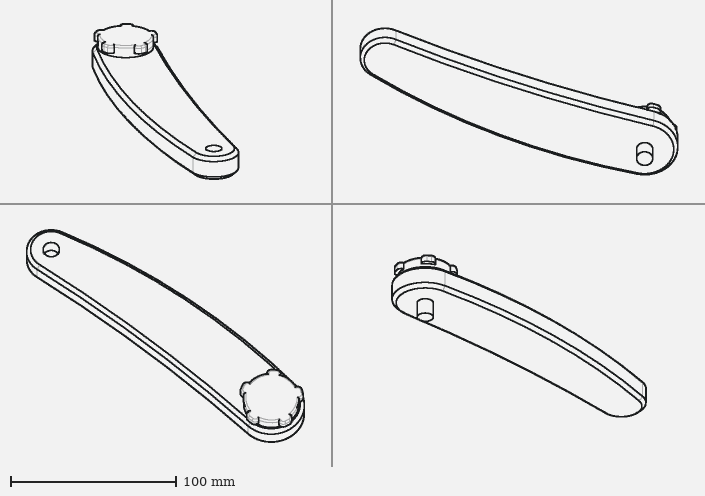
import cadquery as cq
import math

length = 205.0
thickness = 15.0
arm_chamfer = 2.5
big_end_radius = 20.0
small_end_radius = 15.0
hollow_radius = 1000.5
bulge_radius = 451.0
small_end_x = length - big_end_radius - small_end_radius

pin_radius = 5.0
pin_length = 10.0
socket_depth = 10.0

knob_height = 7.5
knob_radius = 16.8
lobe_count = 5
lobe_width = 8.6
lobe_reach = 19.5
lobe_corner_radius = 2.9
lobe_height = 5.0
first_lobe_angle = 87.0
knob_top_fillet = 1.2


def side_arc_center(big_distance, small_distance):
    """Distance along X and absolute distance from the X axis, given distances to both end centers."""
    x = (big_distance**2 - small_distance**2 + small_end_x**2) / (2 * small_end_x)
    return x, math.sqrt(big_distance**2 - x**2)


def toward(start, end, distance):
    """Point at a signed distance from start along the line to end."""
    span = math.dist(start, end)
    return tuple(s + (e - s) * distance / span for s, e in zip(start, end))


def make_arm():
    big_end = (0, 0)
    small_end = (small_end_x, 0)
    hollow_center = side_arc_center(hollow_radius + big_end_radius, hollow_radius + small_end_radius)
    bulge_center = side_arc_center(bulge_radius - big_end_radius, bulge_radius - small_end_radius)
    hollow_bottom = (hollow_center[0], hollow_center[1] - hollow_radius)
    bulge_bottom = (bulge_center[0], bulge_center[1] - bulge_radius)
    return (
        cq.Workplane("XY")
        .moveTo(*toward(big_end, hollow_center, big_end_radius))
        .threePointArc(hollow_bottom, toward(small_end, hollow_center, small_end_radius))
        .threePointArc(
            (small_end_x + small_end_radius, 0),
            toward(small_end, bulge_center, -small_end_radius),
        )
        .threePointArc(bulge_bottom, toward(big_end, bulge_center, -big_end_radius))
        .threePointArc((-big_end_radius, 0), toward(big_end, hollow_center, big_end_radius))
        .close()
        .extrude(thickness)
        .faces("<Z or >Z")
        .edges()
        .chamfer(arm_chamfer)
    )


def make_knob():
    knob_top = thickness + knob_height
    lobe_bottom = knob_top - lobe_height
    head = cq.Workplane("XY").workplane(offset=lobe_bottom).circle(knob_radius).extrude(lobe_height)
    lobe = (
        cq.Workplane("XY")
        .workplane(offset=lobe_bottom)
        .center(lobe_reach / 2, 0)
        .rect(lobe_reach, lobe_width)
        .extrude(lobe_height)
        .edges("|Z and >X")
        .fillet(lobe_corner_radius)
    )
    for index in range(lobe_count):
        angle = first_lobe_angle + index * 360 / lobe_count
        head = head.union(lobe.rotate((0, 0, 0), (0, 0, 1), angle))
    head = head.faces(">Z").edges().fillet(knob_top_fillet)
    neck = (
        cq.Workplane("XY")
        .workplane(offset=thickness)
        .circle(knob_radius)
        .extrude(knob_height - lobe_height)
    )
    return neck.union(head)


pin = cq.Workplane("XY").circle(pin_radius).extrude(-pin_length)
socket = (
    cq.Workplane("XY")
    .workplane(offset=thickness - socket_depth)
    .center(small_end_x, 0)
    .circle(pin_radius)
    .extrude(socket_depth)
)

result = make_arm().cut(socket).union(pin).union(make_knob())